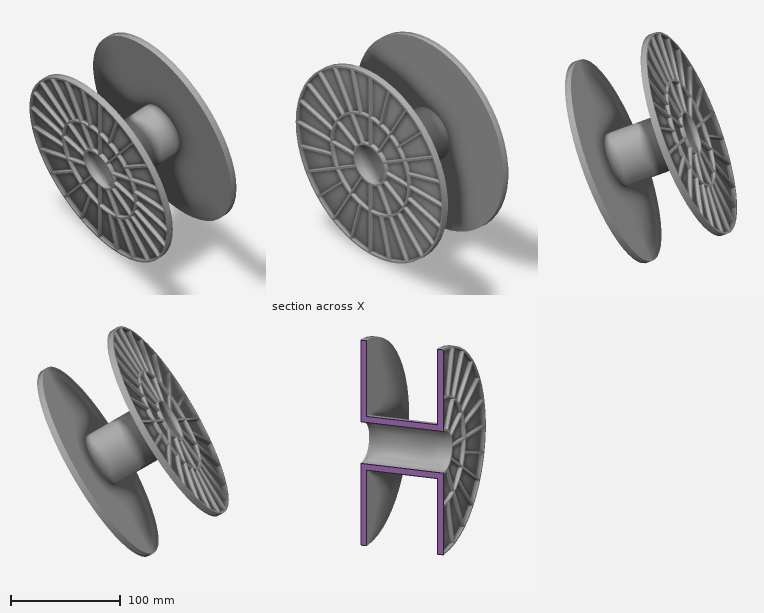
import cadquery as cq

flange_diameter = 195.0
spool_width = 82.0
flange_thickness = 6.0
hub_diameter = 51.5
bore_diameter = 39.0

web_thickness = 2.0
web_height = 4.0
middle_ring_diameter = 104.0
main_rib_count = 12
rib_pitch = 360.0 / main_rib_count

outer_face = spool_width / 2
floor_level = outer_face - web_height


def cylinder(diameter, start, length):
    """Solid cylinder about the Y axis, from Y = start towards +Y."""
    return cq.Workplane("XZ", origin=(0, start, 0)).circle(diameter / 2).extrude(-length)


def web_ring(outer_diameter):
    """Circular web standing on the flange floor."""
    outer = cylinder(outer_diameter, floor_level, web_height)
    inner = cylinder(outer_diameter - 2 * web_thickness, floor_level, web_height)
    return outer.cut(inner)


def rib(inner_radius, outer_radius, angle):
    """Straight radial rib standing on the flange floor."""
    length = outer_radius - inner_radius
    return (
        cq.Workplane("XY")
        .box(length, web_height, web_thickness)
        .translate((inner_radius + length / 2, floor_level + web_height / 2, 0))
        .rotate((0, 0, 0), (0, 1, 0), angle)
    )


def flange():
    """Flange at the +Y end: a thin floor carrying rings and radial ribs."""
    floor_thickness = flange_thickness - web_height
    inner_face = outer_face - flange_thickness
    body = cylinder(flange_diameter, inner_face, floor_thickness)

    for ring_diameter in (flange_diameter, middle_ring_diameter):
        body = body.union(web_ring(ring_diameter))

    body = body.union(cylinder(bore_diameter + 2 * web_thickness, floor_level, web_height))

    half_web = web_thickness / 2
    rib_end = flange_diameter / 2 - half_web
    main_rib_start = bore_diameter / 2 + half_web
    short_rib_start = middle_ring_diameter / 2 - half_web
    for index in range(main_rib_count):
        main_angle = index * rib_pitch
        body = body.union(rib(main_rib_start, rib_end, main_angle))
        body = body.union(rib(short_rib_start, rib_end, main_angle + rib_pitch / 2))
    return body


back_flange = flange()
front_flange = back_flange.mirror("XZ")

hub_length = spool_width - 2 * flange_thickness
hub = cylinder(hub_diameter, -hub_length / 2, hub_length)

bore = cylinder(bore_diameter, -outer_face, spool_width)

result = hub.union(back_flange).union(front_flange).cut(bore)